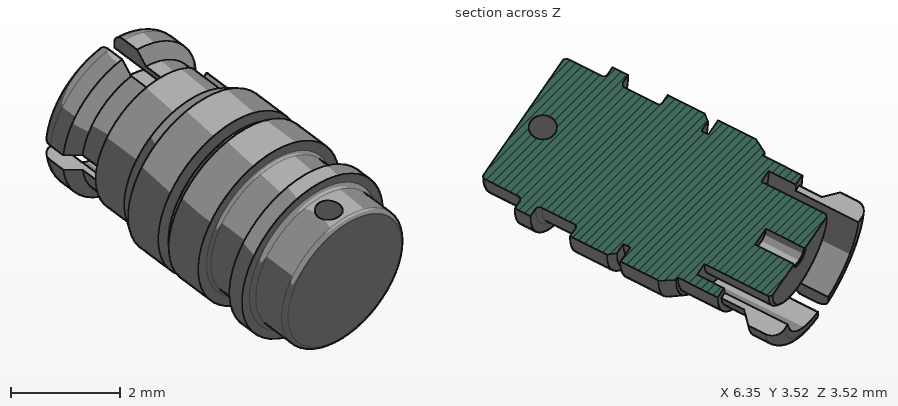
import cadquery as cq
import math

total_length = 6.35
lip_flat_end = 0.61
lip_cone_end = 0.85
sleeve_front = 1.335
front_ring_start = 2.17
front_ring_full = 2.45
front_ring_end = 3.26
rear_ring_start = 3.4
rear_ring_full = 3.54
rear_ring_end = 4.325
flange_start = 5.155
flange_end = 5.49

ring_radius = 3.52 / 2
lip_radius = 3.33 / 2
front_cone_radius = 3.19 / 2
rear_cone_radius = 3.275 / 2
sleeve_radius = 3.05 / 2
rear_body_radius = 3.0 / 2
neck_radius = 2.82 / 2

lip_fillet = 0.255
ring_root_fillet = 0.06
flange_root_fillet = 0.08
rear_edge_fillet = 0.08

socket_radius = 2.565 / 2
socket_depth = 1.905
insulator_radius = 2.06 / 2
insulator_front = 0.495
insulator_chamfer = 0.05

contact_radius = 0.38 / 2
contact_chamfer = 0.025
contact_depth = 0.825

slot_width = 0.37
finger_count = 4
split_angle = 20.0
split_direction = 45.0
cross_hole_radius = 0.51 / 2
cross_hole_x = 5.93

cut_margin = 0.065


def cylinder(radius, start, end):
    """Solid cylinder on the X axis between two stations."""
    return cq.Workplane("YZ", origin=(start, 0, 0)).circle(radius).extrude(end - start)


def root_arc(profile, shoulder_x, side, radius, descending):
    """Add a concave root fillet; side is +1 behind the shoulder and -1 ahead of it."""
    middle_offset = radius * (1 - math.sqrt(0.5))
    on_shoulder = (shoulder_x, rear_body_radius + radius)
    middle = (shoulder_x + side * middle_offset, rear_body_radius + middle_offset)
    on_body = (shoulder_x + side * radius, rear_body_radius)
    start, end = (on_shoulder, on_body) if descending else (on_body, on_shoulder)
    return profile.lineTo(*start).threePointArc(middle, end)


def make_body():
    """Revolve the outside profile, with rounded edges, about the X axis."""
    arc = math.sqrt(0.5)
    lip_mid = lip_fillet * (1 - arc)
    rear_mid = rear_edge_fillet * (1 - arc)
    profile = (
        cq.Workplane("XY")
        .moveTo(0, 0)
        .lineTo(0, lip_radius - lip_fillet)
        .threePointArc((lip_mid, lip_radius - lip_mid), (lip_fillet, lip_radius))
        .lineTo(lip_flat_end, lip_radius)
        .lineTo(lip_cone_end, neck_radius)
        .lineTo(front_ring_start, neck_radius)
        .lineTo(front_ring_start, front_cone_radius)
        .lineTo(front_ring_full, ring_radius)
        .lineTo(front_ring_end, ring_radius)
        .lineTo(front_ring_end, neck_radius)
        .lineTo(rear_ring_start, neck_radius)
        .lineTo(rear_ring_start, rear_cone_radius)
        .lineTo(rear_ring_full, ring_radius)
        .lineTo(rear_ring_end, ring_radius)
    )
    profile = root_arc(profile, rear_ring_end, 1, ring_root_fillet, True)
    profile = root_arc(profile, flange_start, -1, flange_root_fillet, False)
    profile = profile.lineTo(flange_start, ring_radius).lineTo(flange_end, ring_radius)
    profile = root_arc(profile, flange_end, 1, flange_root_fillet, True)
    profile = (
        profile.lineTo(total_length - rear_edge_fillet, rear_body_radius)
        .threePointArc(
            (total_length - rear_mid, rear_body_radius - rear_mid),
            (total_length, rear_body_radius - rear_edge_fillet),
        )
        .lineTo(total_length, 0)
        .close()
    )
    return profile.revolve(360, (0, 0, 0), (1, 0, 0))


def make_sleeve():
    """Split sleeve around the neck, open on a radial wedge between +Y and +Z."""
    sleeve = cylinder(sleeve_radius, sleeve_front, front_ring_start)
    sleeve = sleeve.cut(cylinder(neck_radius, sleeve_front, front_ring_start))
    reach = 2 * sleeve_radius
    edges = []
    for side in (-1, 1):
        angle = math.radians(split_direction + side * split_angle / 2)
        edges.append((reach * math.cos(angle), reach * math.sin(angle)))
    wedge = (
        cq.Workplane("YZ", origin=(sleeve_front, 0, 0))
        .polyline([(0, 0)] + edges)
        .close()
        .extrude(front_ring_start - sleeve_front)
    )
    return sleeve.cut(wedge)


def make_finger_slots():
    """Radial slots that divide the front wall into equal spring fingers."""
    slot_length = sleeve_front + cut_margin
    slot = cq.Workplane("XY", origin=(-cut_margin, 0, 0)).box(
        slot_length, slot_width, ring_radius, centered=(False, True, False)
    )
    slots = slot
    for index in range(1, finger_count):
        slots = slots.union(slot.rotate((0, 0, 0), (1, 0, 0), index * 360 / finger_count))
    return slots


def make_insulator():
    """Insulator standing on the socket floor, chamfered at its front edge."""
    insulator = cylinder(insulator_radius, insulator_front, socket_depth)
    return insulator.faces("<X").edges().chamfer(insulator_chamfer)


def make_contact_hole():
    """Blind contact hole with a small countersink at its mouth."""
    mouth_radius = contact_radius + contact_chamfer
    hole_end = insulator_front + contact_depth
    hole_profile = [
        (insulator_front, 0),
        (insulator_front, mouth_radius),
        (insulator_front + contact_chamfer, contact_radius),
        (hole_end, contact_radius),
        (hole_end, 0),
    ]
    return cq.Workplane("XY").polyline(hole_profile).close().revolve(360, (0, 0, 0), (1, 0, 0))


def make_cross_hole():
    """Round hole through the rear body along Z."""
    return (
        cq.Workplane("XY", origin=(cross_hole_x, 0, 0))
        .circle(cross_hole_radius)
        .extrude(ring_radius, both=True)
    )


body = make_body().union(make_sleeve())
body = body.cut(cylinder(socket_radius, 0, socket_depth))
body = body.cut(make_finger_slots())
body = body.union(make_insulator())
body = body.cut(make_contact_hole())
result = body.cut(make_cross_hole())